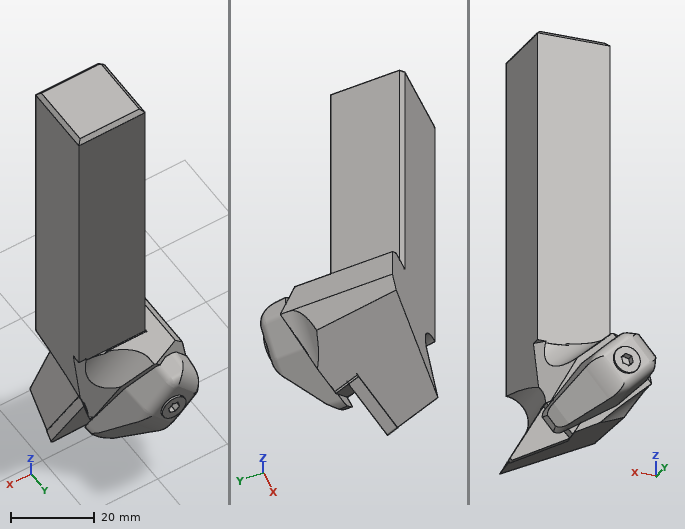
import cadquery as cq
import math

TOTAL_HEIGHT = 113.4
SHANK_SIDE = 19.0
SHANK_BEVEL = 1.0
RELIEF_WIDTH = 0.7
RELIEF_DEPTH = 0.5

HEAD_WIDTH = 25.4
HEAD_TOP = 31.0
HEAD_CHAMFER = 2.2
CORNER_HEIGHT = 19.5
LEFT_SLOPE = 59.0
TIP_STEP_HEIGHT = 13.6
HEAD_FOOT_DEPTH = 6.8
REACH = 68.0

NOSE_ANGLE = 41.0
NOSE_FALL = 0.3
RIDGE_Y = 29.5
REAR_FALL = 0.62

WEB_WIDTH = 15.5
SCOOP_START_Y = 27.2
SCOOP_RADIUS = SCOOP_START_Y - SHANK_SIDE

INSERT_ANGLE = 35.0
INSERT_SWING = 3.0
INSERT_EDGE = 16.6
INSERT_THICKNESS = 3.1
NOSE_RADIUS = 0.5
TIP_X, TIP_Y, TIP_Z = 31.2, 14.4, -0.6
INSERT_OVERHANG = 0.3
GULLET_START = 14.2
GULLET_RADIUS = 6.1

CLAMP_REAR = -4.2
CLAMP_FRONT = 25.9
CLAMP_BASE_Y = 20.4
CLAMP_DRAFT = 5.0
CLAMP_BASE_REAR = -5.0
CLAMP_BASE_FRONT = 26.3
CLAMP_SHOULDER_REAR = 0.0
CLAMP_SHOULDER_FRONT = 10.2
CLAMP_WIDTH = 14.3
CLAMP_REAR_WIDTH = 5.9
CLAMP_FRONT_WIDTH = 6.1
CLAMP_REAR_Y = 28.2
CLAMP_TOP_Y = 36.0
CLAMP_FRONT_Y = 24.0
CLAMP_SWING = 3.0
CLAMP_CORNER_RADIUS = 2.5
CLAMP_RIM_RADIUS = 2.3
CLAMP_BACK_START = (-3.9, 31.2)
CLAMP_BACK_MIDDLE = (-2.4, 34.3)
CLAMP_BACK_END = (0.7, CLAMP_TOP_Y)
CLAMP_BROW_START = (10.2, CLAMP_TOP_Y)
CLAMP_BROW_MIDDLE = (12.7, 35.0)
CLAMP_BROW_END = (15.1, 33.3)
CLAMP_NOSE = (23.8, 26.3)

CORNER_POINT = (20.1, 24.5, 23.0)
CORNER_NORMAL = (0.74, 0.66, 0.16)

SCREW_S = 6.0
SCREW_TOP_Y = 36.5
SCREW_HEAD_RADIUS = 3.4
SCREW_HEAD_HEIGHT = 3.4
SCREW_SHANK_RADIUS = 1.9
SCREW_END_Y = 24.4
SOCKET_SIZE = 3.2
SOCKET_DEPTH = 1.8

angle = math.radians(NOSE_ANGLE)
nose_dir = cq.Vector(math.cos(angle), 0, -math.sin(angle))
side_dir = cq.Vector(math.sin(angle), 0, math.cos(angle))
tilt_normal = cq.Vector(0, 1, 0) + nose_dir * NOSE_FALL
tilt_dir = nose_dir - cq.Vector(0, NOSE_FALL, 0)

ridge_point = cq.Vector(0, 0, CORNER_HEIGHT)
side_plane = cq.Plane(origin=ridge_point, xDir=nose_dir, normal=side_dir)
cross_plane = cq.Plane(origin=ridge_point, xDir=side_dir, normal=nose_dir * -1)
plan_plane = cq.Plane(
    origin=ridge_point + side_dir * (WEB_WIDTH / 2), xDir=nose_dir, normal=(0, 1, 0)
).rotated((0, 0, CLAMP_SWING))
insert_plane = cq.Plane(
    origin=(TIP_X, TIP_Y, TIP_Z), xDir=tilt_dir, normal=tilt_normal
).rotated((0, 0, INSERT_SWING))


def roof_y(s):
    """Height in Y of the roof at a distance s in front of the ridge."""
    fall = NOSE_FALL if s > 0 else REAR_FALL
    return RIDGE_Y - fall * abs(s)


def make_shank():
    low_x = HEAD_WIDTH - SHANK_SIDE
    shank = cq.Workplane("XY").box(
        SHANK_SIDE, SHANK_SIDE, TOTAL_HEIGHT - HEAD_TOP, centered=False
    ).translate((low_x, 0, HEAD_TOP))
    shank = shank.edges("|Z and <X and <Y").chamfer(SHANK_BEVEL)
    return shank.faces(">Z").chamfer(SHANK_BEVEL)


def make_head_block():
    low_z = -HEAD_FOOT_DEPTH
    far_x = TIP_X + HEAD_FOOT_DEPTH
    foot_x = (CORNER_HEIGHT - low_z) / math.tan(math.radians(LEFT_SLOPE))
    outline = [
        (0, CORNER_HEIGHT),
        (0, HEAD_TOP - HEAD_CHAMFER),
        (HEAD_CHAMFER, HEAD_TOP),
        (HEAD_WIDTH, HEAD_TOP),
        (HEAD_WIDTH, TIP_STEP_HEIGHT),
        (far_x, TIP_STEP_HEIGHT),
        (far_x, low_z),
        (foot_x, low_z),
    ]
    return cq.Workplane("XZ").polyline(outline).close().extrude(-RIDGE_Y)


def relief_cut():
    groove = cq.Workplane("XY").box(SHANK_SIDE, RELIEF_WIDTH, RELIEF_DEPTH, centered=False)
    return groove.translate((HEAD_WIDTH - SHANK_SIDE, SHANK_SIDE, HEAD_TOP - RELIEF_DEPTH))


def roof_cut():
    outline = [
        (-REACH, roof_y(-REACH)),
        (0, RIDGE_Y),
        (REACH, roof_y(REACH)),
        (REACH, 2 * REACH),
        (-REACH, 2 * REACH),
    ]
    return cq.Workplane(side_plane).polyline(outline).close().extrude(REACH, both=True)


def flank_cut(side):
    """Cut along one long side of the insert; side is +1 for the lower flank, -1 for the right one."""
    half = math.radians(INSERT_ANGLE / 2)
    along = cq.Vector(-math.cos(half), side * math.sin(half), 0)
    outward = cq.Vector(math.sin(half), side * math.cos(half), 0)
    line_start = outward * -INSERT_OVERHANG
    length = REACH if side > 0 else GULLET_START
    corners = [
        line_start - along * REACH,
        line_start + along * length,
        line_start + along * length + outward * REACH,
        line_start - along * REACH + outward * REACH,
    ]
    cut = cq.Workplane(insert_plane).polyline([(c.x, c.y) for c in corners]).close()
    cut = cut.extrude(REACH, both=True)
    if side < 0:
        centre = line_start + along * GULLET_START + outward * GULLET_RADIUS
        gullet = cq.Workplane(insert_plane).center(centre.x, centre.y).circle(GULLET_RADIUS)
        cut = cut.union(gullet.extrude(REACH, both=True))
    return cut


def scoop_cut(wall, outward):
    """Concave cut along the nose beside the web; outward is +1 or -1 across the nose."""
    floor_start = wall + outward * SCOOP_RADIUS
    slant = SCOOP_RADIUS * math.sqrt(0.5)
    far = wall + outward * REACH
    return (
        cq.Workplane(cross_plane)
        .moveTo(wall, REACH)
        .lineTo(wall, SCOOP_START_Y)
        .threePointArc((floor_start - outward * slant, SCOOP_START_Y - slant), (floor_start, SHANK_SIDE))
        .lineTo(far, SHANK_SIDE)
        .lineTo(far, REACH)
        .close()
        .extrude(REACH, both=True)
    )


def rhombus(bottom, height):
    """Rhombus of the insert, from a level in the insert plane upward."""
    half = math.radians(INSERT_ANGLE / 2)
    dx = INSERT_EDGE * math.cos(half)
    dy = INSERT_EDGE * math.sin(half)
    sketch = cq.Workplane(insert_plane).workplane(offset=bottom)
    return sketch.polyline([(0, 0), (-dx, dy), (-2 * dx, 0), (-dx, -dy)]).close().extrude(height)


def tip_cut():
    """Clears everything from the insert's seat upward, over its front half."""
    half_length = INSERT_EDGE * math.cos(math.radians(INSERT_ANGLE / 2))
    sketch = cq.Workplane(insert_plane).workplane(offset=-INSERT_THICKNESS)
    return sketch.center(REACH / 2 - half_length, 0).rect(REACH, REACH).extrude(REACH)


def make_insert():
    insert = rhombus(-INSERT_THICKNESS, INSERT_THICKNESS)
    tip = cq.selectors.NearestToPointSelector(
        insert_plane.toWorldCoords((0, 0, -INSERT_THICKNESS / 2)).toTuple()
    )
    return insert.edges(tip).fillet(NOSE_RADIUS)


def make_clamp_chin():
    """Rear part of the insert's pocket, filled by the clamp down to the insert."""
    return rhombus(0, REACH).cut(tip_cut()).cut(roof_cut())


def make_clamp_plan():
    """Outline of the clamp from above, rounded at its corners and along its top rim."""
    outline = [
        (CLAMP_BASE_REAR, CLAMP_REAR_WIDTH / 2),
        (CLAMP_SHOULDER_REAR, CLAMP_WIDTH / 2),
        (CLAMP_SHOULDER_FRONT, CLAMP_WIDTH / 2),
        (CLAMP_BASE_FRONT, CLAMP_FRONT_WIDTH / 2),
    ]
    mirrored = [(s, -w) for s, w in reversed(outline)]
    base = cq.Workplane(plan_plane).workplane(offset=CLAMP_BASE_Y).polyline(outline + mirrored).close()
    plan = base.extrude(CLAMP_TOP_Y - CLAMP_BASE_Y, taper=CLAMP_DRAFT)
    plan = plan.edges("not #Y").fillet(CLAMP_CORNER_RADIUS)
    return plan.faces(">Y").edges().fillet(CLAMP_RIM_RADIUS)


def make_clamp_profile():
    """Side shape of the clamp: rounded back, flat top and a nose that falls to the tip."""
    free_start = (CLAMP_REAR_Y - RIDGE_Y) / REAR_FALL
    return (
        cq.Workplane(side_plane)
        .moveTo(CLAMP_REAR, CLAMP_REAR_Y)
        .lineTo(*CLAMP_BACK_START)
        .threePointArc(CLAMP_BACK_MIDDLE, CLAMP_BACK_END)
        .lineTo(*CLAMP_BROW_START)
        .threePointArc(CLAMP_BROW_MIDDLE, CLAMP_BROW_END)
        .lineTo(*CLAMP_NOSE)
        .lineTo(CLAMP_FRONT, CLAMP_FRONT_Y)
        .lineTo(CLAMP_FRONT, roof_y(CLAMP_FRONT))
        .lineTo(0, RIDGE_Y)
        .lineTo(free_start, CLAMP_REAR_Y)
        .close()
        .extrude(REACH, both=True)
    )


def make_clamp():
    return make_clamp_plan().intersect(make_clamp_profile()).union(make_clamp_chin())


def make_screw():
    place = cq.Workplane(plan_plane).center(SCREW_S, 0)
    length = SCREW_TOP_Y - SCREW_END_Y
    shank = place.workplane(offset=SCREW_END_Y).circle(SCREW_SHANK_RADIUS).extrude(length)
    head = place.workplane(offset=SCREW_TOP_Y - SCREW_HEAD_HEIGHT).circle(SCREW_HEAD_RADIUS)
    return shank.union(head.extrude(SCREW_HEAD_HEIGHT))


def socket_cut():
    place = cq.Workplane(plan_plane).center(SCREW_S, 0).workplane(offset=SCREW_TOP_Y - SOCKET_DEPTH)
    return place.polygon(6, SOCKET_SIZE).extrude(SOCKET_DEPTH)


def corner_cut():
    """Flat that trims the right-hand corner of the head between the scoop and the clamp."""
    flat = cq.Plane(origin=CORNER_POINT, normal=CORNER_NORMAL)
    return cq.Workplane(flat).rect(REACH, REACH).extrude(REACH)


insert = make_insert()
screw_blank = make_screw()
screw = screw_blank.cut(socket_cut())

holder = make_head_block().cut(flank_cut(1)).cut(flank_cut(-1)).cut(roof_cut())
holder = holder.cut(scoop_cut(WEB_WIDTH, 1)).cut(scoop_cut(0, -1)).cut(corner_cut()).cut(relief_cut())
holder = holder.union(make_shank())
holder = holder.cut(tip_cut()).cut(rhombus(-INSERT_THICKNESS, REACH)).cut(screw_blank)

clamp = make_clamp().cut(screw_blank)

result = cq.Compound.makeCompound([holder.val(), insert.val(), clamp.val(), screw.val()])